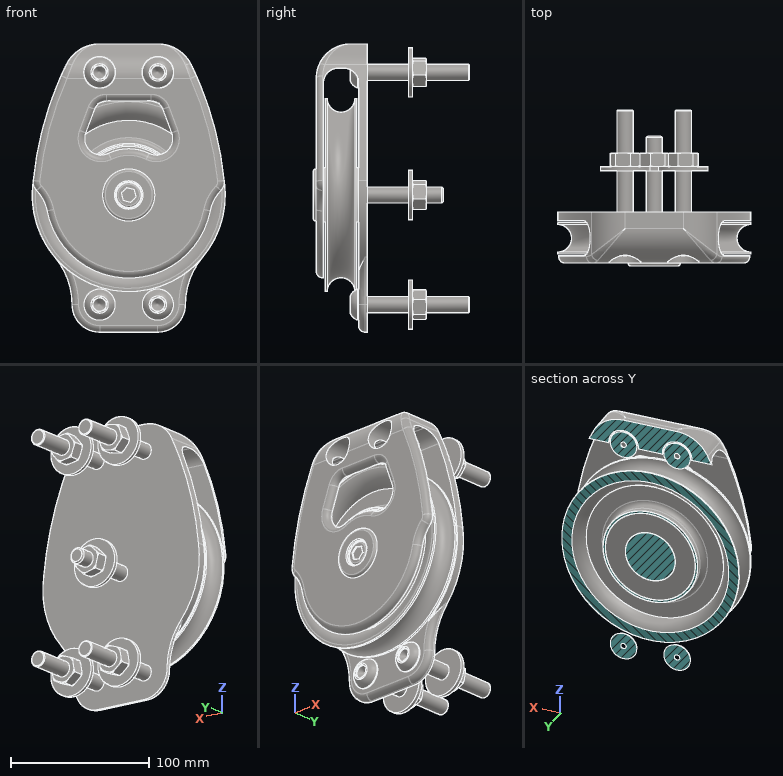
import cadquery as cq
import math


RIM_R = 70.0
TOP_Z = 109.5
TOP_HALF_W = 21.1
TOP_CORNER_R = 27.0
TOP_CORNER_TURN = 64.0
FLANK_END_Z = 10.5
FLANK_END = (math.sqrt(RIM_R**2 - FLANK_END_Z**2), FLANK_END_Z)

BACK_T = 6.5
FRONT_T = 5.5
FRAME_DEPTH = 37.2
SLOT_END = FRAME_DEPTH - FRONT_T
SLOT_MID = (BACK_T + SLOT_END) / 2
SLOT_TOP_Z = 91.8
SLOT_CORNER_R = 10.5
TOP_ROUND_R = 25.0
EDGE_R = 4.8

FRONT_DISK_R = 60.2
NOTCH_R = 29.3
NOTCH_START = 11.0

LUG_HALF_W = 41.2
LUG_BOTTOM_Z = -99.5
LUG_CORNER_R = 20.3
LUG_CORNER_Z = LUG_BOTTOM_Z + LUG_CORNER_R
LUG_NECK_R = (LUG_HALF_W**2 + LUG_CORNER_Z**2 - RIM_R**2) / (2 * (RIM_R - LUG_HALF_W))

WINDOW_TOP_Z = 68.1
WINDOW_TOP_CORNER = (16.0, 59.0)
WINDOW_TOP_R = WINDOW_TOP_Z - WINDOW_TOP_CORNER[1]
WINDOW_LOW_R = 12.0
WINDOW_BASE_R = 57.5 / 2 + EDGE_R
WINDOW_LOW_TURN = 26.0

AXLE_R = 39.5 / 2
BOSS_R = 37.8 / 2
BOSS_DEPTH = 39.3
BOSS_EDGE_R = 1.9
BOSS_BORE_R = 19.0 / 2
BOSS_BORE_T = 4.2
BOSS_BORE_CHAMFER = 0.8
AXLE_HEAD_R = 18.0 / 2
AXLE_HEAD_T = 3.1
AXLE_HEAD_EDGE_R = 1.3
AXLE_TURN = 15

BOLT_R = 12.0 / 2
BOLT_X = 21.1
BOLT_UPPER_Z = 88.8
BOLT_LOWER_Z = -79.5
BOLT_END_Y = 73.8
AXLE_BOLT_END_Y = 55.0
BOLT_END_CHAMFER = 0.6
AXLE_BOLT_END_CHAMFER = 1.3
HEAD_R = 22.5 / 2
HEAD_TOP_R = 6.3
HEAD_T = 6.0
HEAD_RIM_T = 0.8
HEAD_BULGE_AT = (9.5, 4.0)
ACCESS_R = 23.0 / 2
SOCKET_FLATS = 9.6
SOCKET_T = 1.0
WASHER_R = 36.0 / 2
WASHER_Y = 29.7
WASHER_T = 3.1
NUT_FLATS = 19.0
NUT_T = 9.8
NUT_CHAMFER = 1.0

SHEAVE_HALF_W = 11.5
GROOVE_R = 9.93
WEB_HALF_T = 2.0
WEB_OUTER_R = 54.1
DISH_R = 16.3
DISH_START_R = 67.7
DISH_MID_ANGLE = 122
HUB_R = 37.5
HUB_FOOT_R = 4.2
HUB_EDGE = 1.0
HUB_RECESS_R = 70.6 / 2
HUB_RECESS_T = 1.0

TOOL_REACH = 10.5


def front_plane(depth):
    """XZ sketch plane at the given depth; extrusions from it go toward the front."""
    return cq.Workplane("XZ", origin=(0, -depth, 0))


def polar(center, radius, degrees):
    """Point at the given radius and angle from a centre."""
    angle = math.radians(degrees)
    return (center[0] + radius * math.cos(angle), center[1] + radius * math.sin(angle))


def mirrored(point):
    """Point on the other side of the symmetry plane x = 0."""
    return (-point[0], point[1])


def direction(start, end):
    """Angle from start to end, in degrees."""
    return math.degrees(math.atan2(end[1] - start[1], end[0] - start[0]))


def tangent_arc(contact, normal, center, radius):
    """Centre and radius of the arc that starts at `contact` and ends tangent to a circle.

    `normal` is the direction from the contact point to the new centre, in degrees. The circle
    lies outside the new arc; with radius 0 it is a point that the arc passes through.
    """
    offset = (contact[0] - center[0], contact[1] - center[1])
    angle = math.radians(normal)
    along = offset[0] * math.cos(angle) + offset[1] * math.sin(angle)
    arc_r = (offset[0]**2 + offset[1]**2 - radius**2) / (2 * (radius - along))
    return polar(contact, arc_r, normal), arc_r


TOP_CORNER = (TOP_HALF_W, TOP_Z - TOP_CORNER_R)
TOP_CORNER_END_ANGLE = 90 - TOP_CORNER_TURN
TOP_CORNER_END = polar(TOP_CORNER, TOP_CORNER_R, TOP_CORNER_END_ANGLE)
FLANK_CENTER, FLANK_R = tangent_arc(TOP_CORNER_END, TOP_CORNER_END_ANGLE + 180, FLANK_END, 0)
FLANK_END_ANGLE = direction(FLANK_CENTER, FLANK_END)


def upper_outline():
    """Open outline from the left flank end over the top to the right flank end."""
    corner_mid = polar(TOP_CORNER, TOP_CORNER_R, 90 - TOP_CORNER_TURN / 2)
    flank_mid = polar(FLANK_CENTER, FLANK_R, (TOP_CORNER_END_ANGLE + FLANK_END_ANGLE) / 2)
    return (
        front_plane(0)
        .moveTo(*mirrored(FLANK_END))
        .threePointArc(mirrored(flank_mid), mirrored(TOP_CORNER_END))
        .threePointArc(mirrored(corner_mid), (-TOP_HALF_W, TOP_Z))
        .lineTo(TOP_HALF_W, TOP_Z)
        .threePointArc(corner_mid, TOP_CORNER_END)
        .threePointArc(flank_mid, FLANK_END)
    )


def top_round():
    """Bar along X whose front top edge has the large rounding of the frame."""
    height = TOP_Z - LUG_BOTTOM_Z
    bar = cq.Workplane("XY").box(2 * RIM_R, FRAME_DEPTH, height)
    bar = bar.edges(">Z and <Y").fillet(TOP_ROUND_R)
    return bar.translate((0, -FRAME_DEPTH / 2, TOP_Z - height / 2))


def front_block():
    """Full-depth block with the outline of the front plate and the rounded top."""
    notch = polar((0, 0), FRONT_DISK_R + NOTCH_R, -NOTCH_START)
    disk_start = polar((0, 0), FRONT_DISK_R, -NOTCH_START)
    ear, ear_r = tangent_arc(FLANK_END, FLANK_END_ANGLE + 180, notch, NOTCH_R)
    ear_end_angle = direction(ear, notch)
    ear_end = polar(ear, ear_r, ear_end_angle)
    ear_mid = polar(ear, ear_r, (FLANK_END_ANGLE + ear_end_angle) / 2)
    notch_mid = polar(notch, NOTCH_R, (360 + ear_end_angle - NOTCH_START) / 2)
    block = (
        upper_outline()
        .threePointArc(ear_mid, ear_end)
        .threePointArc(notch_mid, disk_start)
        .threePointArc((0, -FRONT_DISK_R), mirrored(disk_start))
        .threePointArc(mirrored(notch_mid), mirrored(ear_end))
        .threePointArc(mirrored(ear_mid), mirrored(FLANK_END))
        .close()
        .extrude(FRAME_DEPTH)
    )
    block = block.intersect(top_round())
    return block.faces("<Y").edges("<Z").fillet(EDGE_R)


def sheave_slot():
    """Slot between the plates, open below and to both sides, with rounded top corners."""
    height = SLOT_TOP_Z - LUG_BOTTOM_Z + TOOL_REACH
    length = 2 * (RIM_R + TOOL_REACH)
    return (
        cq.Workplane("XY", origin=(0, -SLOT_MID, SLOT_TOP_Z - height))
        .rect(length, SLOT_END - BACK_T)
        .extrude(height)
        .faces(">Z")
        .edges("|X")
        .fillet(SLOT_CORNER_R)
    )


def window():
    """Tool for the window: sloping sides, round corners, base concentric with the axle."""
    low = polar((0, 0), WINDOW_BASE_R + WINDOW_LOW_R, 90 - WINDOW_LOW_TURN)
    top = WINDOW_TOP_CORNER
    run = math.hypot(top[0] - low[0], top[1] - low[1])
    normal = direction(low, top) - math.degrees(math.acos((WINDOW_LOW_R - WINDOW_TOP_R) / run))
    top_end = polar(top, WINDOW_TOP_R, normal)
    top_mid = polar(top, WINDOW_TOP_R, (normal + 90) / 2)
    low_start = polar(low, WINDOW_LOW_R, normal)
    low_mid = polar(low, WINDOW_LOW_R, (normal - 90 - WINDOW_LOW_TURN) / 2)
    base = polar((0, 0), WINDOW_BASE_R, 90 - WINDOW_LOW_TURN)
    return (
        front_plane(SLOT_MID)
        .moveTo(-top[0], WINDOW_TOP_Z)
        .lineTo(top[0], WINDOW_TOP_Z)
        .threePointArc(top_mid, top_end)
        .lineTo(*low_start)
        .threePointArc(low_mid, base)
        .threePointArc((0, WINDOW_BASE_R), mirrored(base))
        .threePointArc(mirrored(low_mid), mirrored(low_start))
        .lineTo(*mirrored(top_end))
        .threePointArc(mirrored(top_mid), (-top[0], WINDOW_TOP_Z))
        .close()
        .extrude(FRAME_DEPTH)
    )


def back_plate():
    """Flat plate behind the sheave, without the lug."""
    return (
        upper_outline()
        .threePointArc((0, -RIM_R), mirrored(FLANK_END))
        .close()
        .extrude(BACK_T)
    )


def lug():
    """Mounting lug below the sheave, its neck arcs tangent to the back plate."""
    neck = (LUG_HALF_W + LUG_NECK_R, LUG_CORNER_Z)
    tangent_angle = direction((0, 0), neck)
    neck_start = polar((0, 0), RIM_R, tangent_angle)
    neck_mid = polar(neck, LUG_NECK_R, 180 + tangent_angle / 2)
    corner = (LUG_HALF_W - LUG_CORNER_R, LUG_CORNER_Z)
    corner_mid = polar(corner, LUG_CORNER_R, -45)
    corner_start = (LUG_HALF_W, LUG_CORNER_Z)
    body = (
        front_plane(0)
        .moveTo(*neck_start)
        .threePointArc(neck_mid, corner_start)
        .threePointArc(corner_mid, (corner[0], LUG_BOTTOM_Z))
        .lineTo(-corner[0], LUG_BOTTOM_Z)
        .threePointArc(mirrored(corner_mid), mirrored(corner_start))
        .threePointArc(mirrored(neck_mid), mirrored(neck_start))
        .close()
        .extrude(BACK_T)
    )
    return body.faces("<Y").edges("not >Z").fillet(EDGE_R)


def hex_socket(x, z, depth, turn):
    """Hexagonal socket cut inward from the given depth, with a conical floor."""
    hexagon = (
        front_plane(depth - SOCKET_T)
        .center(x, z)
        .transformed(rotate=(0, 0, turn))
        .polygon(6, SOCKET_FLATS, circumscribed=True)
        .extrude(SOCKET_T)
    )
    radius = SOCKET_FLATS / 2
    cone = cq.Solid.makeCone(radius, 0, radius, cq.Vector(x, SOCKET_T - depth, z), cq.Vector(0, 1, 0))
    return hexagon.union(cq.Workplane(cone))


def shank_with_nut(x, z, turn, end_y, end_chamfer):
    """Threaded shank from the back plate to end_y, with its washer and hexagon nut."""
    shank = front_plane(-end_y).center(x, z).circle(BOLT_R).extrude(end_y + BACK_T / 2)
    shank = shank.faces(">Y").chamfer(end_chamfer)
    nut_end_y = WASHER_Y + WASHER_T + NUT_T
    washer = front_plane(-WASHER_Y - WASHER_T).center(x, z).circle(WASHER_R).extrude(WASHER_T)
    nut = (
        front_plane(-nut_end_y)
        .center(x, z)
        .transformed(rotate=(0, 0, turn))
        .polygon(6, NUT_FLATS, circumscribed=True)
        .extrude(NUT_T)
    )
    nut_corner_r = NUT_FLATS / 2 / math.cos(math.pi / 6)
    chamfered = (
        front_plane(-nut_end_y)
        .center(x, z)
        .circle(nut_corner_r)
        .extrude(NUT_T)
        .faces("<Y or >Y")
        .chamfer(NUT_CHAMFER / 2, NUT_CHAMFER)
    )
    return shank.union(washer).union(nut.intersect(chamfered))


def button_head(x, z, turn):
    """Domed bolt head that sits on the inner face of the back plate."""
    head = (
        cq.Workplane("XY")
        .lineTo(HEAD_R, 0)
        .lineTo(HEAD_R, -HEAD_RIM_T)
        .threePointArc((HEAD_BULGE_AT[0], -HEAD_BULGE_AT[1]), (HEAD_TOP_R, -HEAD_T))
        .lineTo(0, -HEAD_T)
        .close()
        .revolve(360, (0, 0, 0), (0, 1, 0))
        .translate((x, -BACK_T, z))
    )
    return head.cut(hex_socket(x, z, BACK_T + HEAD_T, turn))


def axle():
    """Axle through the sheave, with the front boss and the recessed socket head."""
    pin = front_plane(BACK_T).circle(AXLE_R).extrude(SLOT_END - BACK_T)
    boss = front_plane(SLOT_END).circle(BOSS_R).extrude(BOSS_DEPTH - SLOT_END)
    boss = boss.faces("<Y").edges().fillet(BOSS_EDGE_R)
    floor_depth = BOSS_DEPTH - BOSS_BORE_T
    boss = boss.cut(front_plane(floor_depth).circle(BOSS_BORE_R).extrude(BOSS_BORE_T))
    bore_edge = cq.selectors.RadiusNthSelector(0)
    boss = boss.faces("<Y").edges("%CIRCLE").edges(bore_edge).chamfer(BOSS_BORE_CHAMFER)
    head = front_plane(floor_depth).circle(AXLE_HEAD_R).extrude(AXLE_HEAD_T)
    head = head.faces("<Y").edges().fillet(AXLE_HEAD_EDGE_R)
    head = head.cut(hex_socket(0, 0, floor_depth + AXLE_HEAD_T, AXLE_TURN))
    return pin.union(boss).union(head)


def make_frame():
    """Frame with its axle, bolts, washers and nuts as one body."""
    body = front_block().cut(sheave_slot()).cut(window())
    margin = 0.2
    window_rim = cq.selectors.BoxSelector(
        (-BOLT_X * 2, -FRAME_DEPTH - margin, WINDOW_BASE_R / 2),
        (BOLT_X * 2, -FRAME_DEPTH + margin, WINDOW_TOP_Z + margin),
    )
    body = body.edges(window_rim).fillet(EDGE_R)
    access = (
        front_plane(BACK_T)
        .pushPoints([(-BOLT_X, BOLT_UPPER_Z), (BOLT_X, BOLT_UPPER_Z)])
        .circle(ACCESS_R)
        .extrude(FRAME_DEPTH)
    )
    body = body.cut(access).union(back_plate()).union(lug()).union(axle())
    bolts = [
        (-BOLT_X, BOLT_UPPER_Z, 40),
        (BOLT_X, BOLT_UPPER_Z, 20),
        (-BOLT_X, BOLT_LOWER_Z, 50),
        (BOLT_X, BOLT_LOWER_Z, 50),
    ]
    for x, z, turn in bolts:
        body = body.union(button_head(x, z, turn))
        body = body.union(shank_with_nut(x, z, turn, BOLT_END_Y, BOLT_END_CHAMFER))
    return body.union(shank_with_nut(0, 0, AXLE_TURN, AXLE_BOLT_END_Y, AXLE_BOLT_END_CHAMFER))


def make_sheave():
    """Grooved sheave, symmetric about its mid plane, bored to fit the axle."""
    dish_center = (DISH_START_R, SHEAVE_HALF_W - DISH_R)
    dish_mid = polar(dish_center, DISH_R, DISH_MID_ANGLE)
    foot_center = (HUB_R + HUB_FOOT_R, WEB_HALF_T + HUB_FOOT_R)
    foot_mid = polar(foot_center, HUB_FOOT_R, 225)
    recess_y = SHEAVE_HALF_W - HUB_RECESS_T
    half = (
        cq.Workplane("XY")
        .moveTo(AXLE_R, 0)
        .lineTo(AXLE_R, recess_y)
        .lineTo(HUB_RECESS_R, recess_y)
        .lineTo(HUB_RECESS_R, SHEAVE_HALF_W)
        .lineTo(HUB_R - HUB_EDGE, SHEAVE_HALF_W)
        .lineTo(HUB_R, SHEAVE_HALF_W - HUB_EDGE)
        .lineTo(HUB_R, foot_center[1])
        .threePointArc(foot_mid, (foot_center[0], WEB_HALF_T))
        .lineTo(WEB_OUTER_R, WEB_HALF_T)
        .threePointArc(dish_mid, (DISH_START_R, SHEAVE_HALF_W))
        .lineTo(RIM_R, SHEAVE_HALF_W)
        .lineTo(RIM_R, 0)
        .close()
        .revolve(360, (0, 0, 0), (0, 1, 0))
    )
    groove = cq.Solid.makeTorus(RIM_R, GROOVE_R, cq.Vector(0, 0, 0), cq.Vector(0, 1, 0))
    blank = half.union(half.mirror("XZ"))
    return blank.cut(cq.Workplane(groove)).translate((0, -SLOT_MID, 0))


frame = make_frame()
sheave = make_sheave()

result = cq.Compound.makeCompound([frame.val(), sheave.val()])